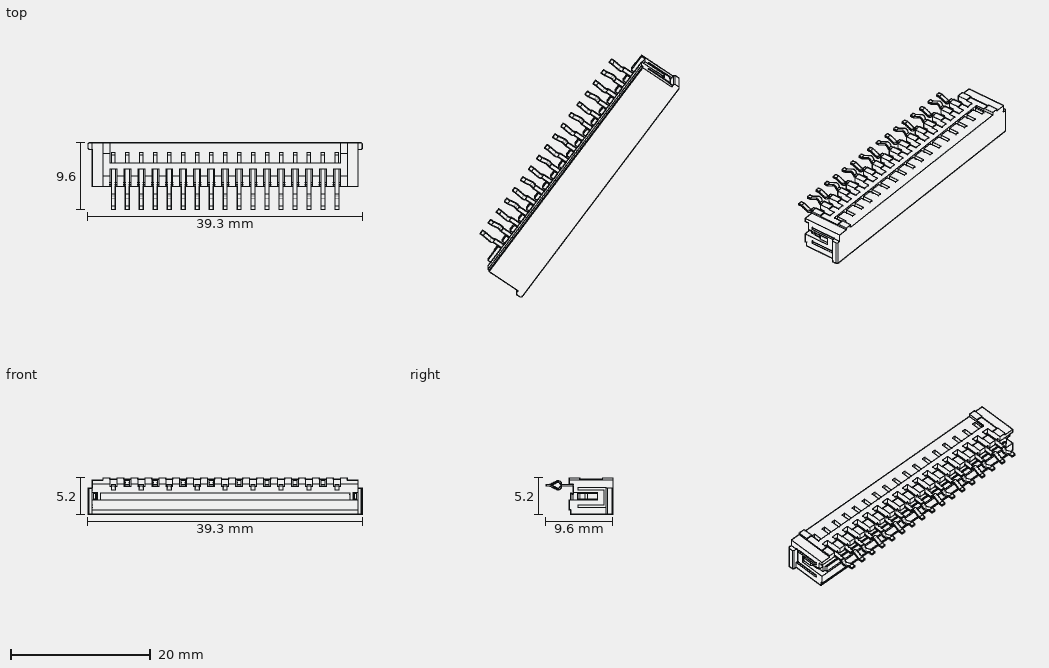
import cadquery as cq
import math


PIN_COUNT = 17
PITCH = 2.0
PIN_WIDTH = 0.6
PIN_THICKNESS = 0.25
PIN_HEIGHT = 4.16
PIN_TIP_DEPTH = 9.6
KINK_ROOT_DEPTH = 7.37
KINK_CENTRE_DEPTH = 7.9
KINK_RADIUS = 0.41
KINK_RISE_ANGLE = 60
KINK_END_ANGLE = 13
KINK_SLOPE = 26

BODY_LENGTH = 38.1
BODY_DEPTH = 6.3
TOTAL_HEIGHT = 5.2
END_TOP = 4.9
STRIP_TOP = 5.05
STRIP_LENGTH = 35.0
FOOT_DEPTH = 6.08
FOOT_HEIGHT = 0.62
JAW_TOP = 2.08
WALL_DEPTH = 5.72
OVERHANG_BOTTOM = 4.32

TOOTH_BACK_DEPTH = 4.75
SLOT_WIDTH = 1.0
SLOT_BACK_DEPTH = 3.77
SLOT_FLOOR = 4.0
PIN_EMBED = 0.4

RECESS_LENGTH = (PIN_COUNT - 1) * PITCH + SLOT_WIDTH
RECESS_DEPTH = 2.95
RECESS_FLOOR = 4.75
RIB_DEPTH = 1.55
WINDOW_WIDTH = 0.5
WINDOW_BACK_DEPTH = 1.4
WINDOW_RAMP_DEPTH = 1.75
WINDOW_LOW = 3.6
WINDOW_HIGH = 4.2

LIP_LENGTH = 35.7
LIP_DEPTH = 6.08
LIP_TOP = 3.02
LIP_CREST = 0.12
LIP_VALLEY = 2.82

TAB_PROJECTION = 0.6
TAB_DEPTH = 1.0
TAB_HEIGHT = 3.75
TAB_CHAMFER = 0.18
GROOVE_CUT = 0.3
GROOVE_BOTTOM = 1.0
GROOVE_TOP = 3.84
GROOVE_WIDTH = 0.35
GROOVE_FRONT_DEPTH = 5.05
PANEL_BACK_DEPTH = 1.33
POCKET_CUT = 0.75
POCKET_TOP = 3.12
POCKET_BACK_DEPTH = 2.27
LATCH_CUT = 0.23
LATCH_STEP_CUT = 0.5
LATCH_NOSE_CUT = 0.54
LATCH_FOOT_CUT = 0.7
LATCH_RAMP_START = 3.7
LATCH_RAMP_END = 4.03
LATCH_NOSE_DEPTH = 4.66
LATCH_NOSE_TIP_DEPTH = 4.88
LATCH_FOOT_DEPTH = 5.1
LATCH_CLEARANCE = 0.13

END_X = BODY_LENGTH / 2
PIN_XS = [(i - (PIN_COUNT - 1) / 2) * PITCH for i in range(PIN_COUNT)]


def block(x_mid, length, back, front, bottom, top):
    """Box centred on x_mid, between two depths and two heights."""
    corner = (x_mid - length / 2, -front, bottom)
    return cq.Workplane("XY").box(length, front - back, top - bottom, centered=False).translate(corner)


def side_prism(profile, x_mid, length):
    """Extrude a (depth, height) outline along X, centred on x_mid."""
    points = [(-depth, height) for depth, height in profile]
    return cq.Workplane("YZ").workplane(offset=x_mid - length / 2).polyline(points).close().extrude(length)


def both_ends(shape):
    """A left-end shape together with its mirror image at the right end."""
    return shape.union(shape.mirror("YZ"))


def housing_shell():
    profile = [
        (0, 0),
        (FOOT_DEPTH, 0),
        (FOOT_DEPTH, FOOT_HEIGHT),
        (BODY_DEPTH, FOOT_HEIGHT),
        (BODY_DEPTH, JAW_TOP),
        (WALL_DEPTH, JAW_TOP),
        (WALL_DEPTH, OVERHANG_BOTTOM),
        (BODY_DEPTH, OVERHANG_BOTTOM),
        (BODY_DEPTH, END_TOP),
        (0, END_TOP),
    ]
    shell = side_prism(profile, 0, BODY_LENGTH)
    strip = block(0, STRIP_LENGTH, 0, BODY_DEPTH, END_TOP, STRIP_TOP)
    tooth_row = block(0, STRIP_LENGTH, TOOTH_BACK_DEPTH, BODY_DEPTH, END_TOP, TOTAL_HEIGHT)
    rib_row = block(0, STRIP_LENGTH, 0, RIB_DEPTH, END_TOP, TOTAL_HEIGHT)
    return shell.union(strip).union(tooth_row).union(rib_row)


def front_lip():
    profile = [
        (WALL_DEPTH, JAW_TOP),
        (LIP_DEPTH, JAW_TOP),
        (LIP_DEPTH, LIP_TOP),
        (LIP_DEPTH - LIP_CREST, LIP_TOP),
        (WALL_DEPTH, LIP_VALLEY),
    ]
    return side_prism(profile, 0, LIP_LENGTH)


def rear_recess():
    return block(0, RECESS_LENGTH, 0, RECESS_DEPTH, RECESS_FLOOR, TOTAL_HEIGHT)


def window(x_mid):
    """Rear window above one contact, with a floor rising towards the front."""
    profile = [
        (WINDOW_BACK_DEPTH, WINDOW_LOW),
        (WINDOW_RAMP_DEPTH, WINDOW_LOW),
        (RECESS_DEPTH, WINDOW_HIGH),
        (RECESS_DEPTH, RECESS_FLOOR),
        (WINDOW_BACK_DEPTH, RECESS_FLOOR),
    ]
    return side_prism(profile, x_mid, WINDOW_WIDTH)


def pin_slot(x_mid):
    return block(x_mid, SLOT_WIDTH, SLOT_BACK_DEPTH, BODY_DEPTH, SLOT_FLOOR, TOTAL_HEIGHT)


def left_tab():
    """Upright rail at the back of the left end, with chamfered outer edges."""
    tab = block(-END_X - TAB_PROJECTION / 2, TAB_PROJECTION, 0, TAB_DEPTH, 0, TAB_HEIGHT)
    return tab.edges("|Z and <X").chamfer(TAB_CHAMFER)


def left_groove():
    """U-shaped groove framing the panel on the left end."""
    x_mid = -END_X + GROOVE_CUT / 2
    frame = block(x_mid, GROOVE_CUT, TAB_DEPTH, GROOVE_FRONT_DEPTH, GROOVE_BOTTOM, GROOVE_TOP)
    panel = block(
        x_mid,
        GROOVE_CUT,
        PANEL_BACK_DEPTH,
        GROOVE_FRONT_DEPTH,
        GROOVE_BOTTOM + GROOVE_WIDTH,
        GROOVE_TOP - GROOVE_WIDTH,
    )
    return frame.cut(panel)


def left_pocket():
    """Pocket in the left end, open to the front."""
    return block(-END_X + POCKET_CUT / 2, POCKET_CUT, POCKET_BACK_DEPTH, BODY_DEPTH, JAW_TOP, POCKET_TOP)


def left_latch():
    """Stepped latch bar on the floor of the left pocket, clear of the pocket's long sides."""
    outline = [
        (POCKET_BACK_DEPTH, POCKET_CUT),
        (POCKET_BACK_DEPTH, LATCH_CUT),
        (LATCH_RAMP_START, LATCH_CUT),
        (LATCH_RAMP_END, LATCH_STEP_CUT),
        (LATCH_NOSE_DEPTH, LATCH_STEP_CUT),
        (LATCH_NOSE_TIP_DEPTH, LATCH_NOSE_CUT),
        (LATCH_NOSE_TIP_DEPTH, LATCH_FOOT_CUT),
        (LATCH_FOOT_DEPTH, LATCH_FOOT_CUT),
        (LATCH_FOOT_DEPTH, POCKET_CUT),
    ]
    points = [(-END_X + cut, -depth) for depth, cut in outline]
    bottom = JAW_TOP + LATCH_CLEARANCE
    height = POCKET_TOP - JAW_TOP - 2 * LATCH_CLEARANCE
    return cq.Workplane("XY").workplane(offset=bottom).polyline(points).close().extrude(height)


def pin(x_mid, direction):
    """Flat pin with a rounded kink to one side: direction is +1 for up, -1 for down."""
    half = PIN_THICKNESS / 2
    root_depth = SLOT_BACK_DEPTH - PIN_EMBED
    leg_tangent = math.tan(math.radians(KINK_SLOPE))

    def at(depth, rise):
        return (-depth, PIN_HEIGHT + direction * rise)

    def on_bend(radius, angle):
        """Point of the bend, the angle in degrees from its top towards the pin tip."""
        turn = math.radians(angle)
        return at(KINK_CENTRE_DEPTH + radius * math.sin(turn), half + radius * math.cos(turn))

    def leg_end_depth(radius, end_rise):
        """Depth where the leg leaving the bend comes back to the rise of the straight tip."""
        turn = math.radians(KINK_END_ANGLE)
        drop = half + radius * math.cos(turn) - end_rise
        return KINK_CENTRE_DEPTH + radius * math.sin(turn) + drop / leg_tangent

    outer = KINK_RADIUS + half
    inner = KINK_RADIUS - half
    outline = (
        cq.Workplane("YZ")
        .workplane(offset=x_mid - PIN_WIDTH / 2)
        .moveTo(*at(root_depth, half))
        .lineTo(*on_bend(outer, -90))
        .threePointArc(on_bend(outer, -45), on_bend(outer, KINK_END_ANGLE))
        .lineTo(*at(leg_end_depth(outer, half), half))
        .lineTo(*at(PIN_TIP_DEPTH, half))
        .lineTo(*at(PIN_TIP_DEPTH, -half))
        .lineTo(*at(leg_end_depth(inner, -half), -half))
        .lineTo(*on_bend(inner, KINK_END_ANGLE))
        .threePointArc(on_bend(inner, -KINK_RISE_ANGLE / 2), on_bend(inner, -KINK_RISE_ANGLE))
        .lineTo(*at(KINK_ROOT_DEPTH, -half))
        .lineTo(*at(root_depth, -half))
        .close()
    )
    return outline.extrude(PIN_WIDTH)


result = housing_shell().union(front_lip()).cut(rear_recess())
for x in PIN_XS:
    result = result.cut(window(x)).cut(pin_slot(x))
result = result.union(both_ends(left_tab()))
result = result.cut(both_ends(left_groove())).cut(both_ends(left_pocket())).union(both_ends(left_latch()))
for index, x in enumerate(PIN_XS):
    kink = -1 if index % 2 == 0 else 1
    result = result.union(pin(x, kink))